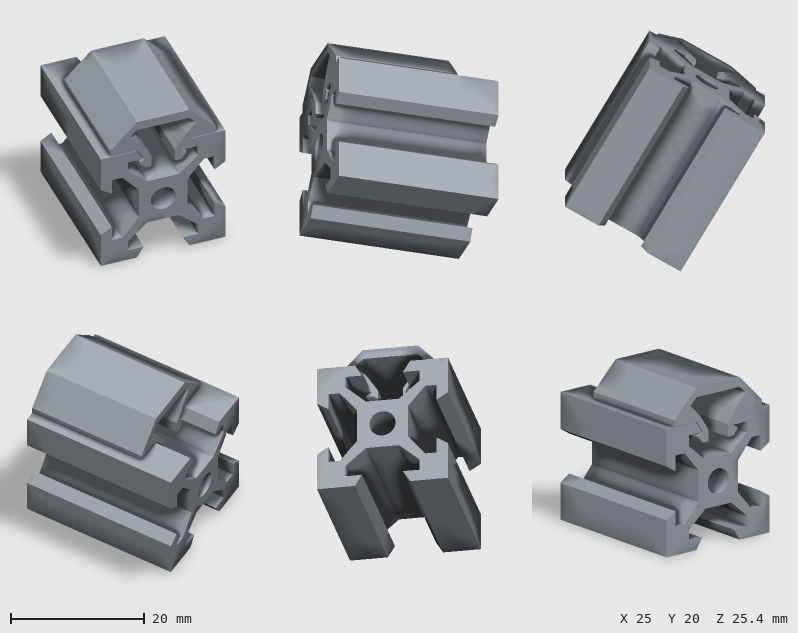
import cadquery as cq

rail_length = 25.0
rail_width = 20.0
bore_diameter = 4.0
slot_mouth_half = 4.22
slot_throat_half = 3.12
slot_channel_half = 5.61
slot_floor_half = 2.51
lip_depth = 1.75
channel_wall_depth = 3.48
core_half = 3.85

total_height = 25.4
cap_length = 19.0
cap_clearance = 0.1
cap_half = 8.48
cap_bevel = 4.27
cap_wall = 1.47
cavity_top_half = 4.17
cavity_corner_half = 5.35
cavity_corner_drop = 2.57
leg_bend_half = 3.53
leg_bend_drop = 4.5
leg_inner_half = 1.9
leg_straight_drop = 6.88
leg_bottom_drop = 8.85
leg_shoulder_half = 4.17
barb_root_half = 2.97
barb_root_drop = 7.21
barb_reach = 0.74
barb_upper_rise = 0.43
barb_flat = 0.3
barb_toe_half = 2.95

rail_half = rail_width / 2
cap_top = total_height - rail_half
cap_bottom = rail_half + cap_clearance
cap_start = rail_length / 2 - cap_length


def mirrored_outline(half_points):
    """Close a run of (y, z) points with its mirror image across y = 0."""
    return half_points + [(-y, z) for y, z in reversed(half_points)]


def extrude_along_x(points, start, length):
    return cq.Workplane("YZ", origin=(start, 0, 0)).polyline(points).close().extrude(length)


def make_slot():
    """Solid filling the slot in the top face of the rail."""
    half_points = [
        (slot_mouth_half, rail_half),
        (slot_throat_half, rail_half - lip_depth),
        (slot_channel_half, rail_half - lip_depth),
        (slot_channel_half, rail_half - channel_wall_depth),
        (slot_floor_half, core_half),
    ]
    return extrude_along_x(mirrored_outline(half_points), -rail_length / 2, rail_length)


def make_rail():
    rail = cq.Workplane("XY").box(rail_length, rail_width, rail_width)
    slot = make_slot()
    for angle in (0, 90, 180, 270):
        rail = rail.cut(slot.rotate((0, 0, 0), (1, 0, 0), angle))
    return rail.faces(">X").workplane(origin=(0, 0, 0)).hole(bore_diameter)


def make_cap():
    barb_half = barb_root_half + barb_reach
    barb_upper_z = cap_top - barb_root_drop - barb_upper_rise
    leg_bottom_z = cap_top - leg_bottom_drop
    half_points = [
        (cap_half - cap_bevel, cap_top),
        (cap_half, cap_top - cap_bevel),
        (cap_half, cap_bottom),
        (leg_shoulder_half, cap_bottom),
        (barb_root_half, cap_top - barb_root_drop),
        (barb_half, barb_upper_z),
        (barb_half, barb_upper_z - barb_flat),
        (barb_toe_half, leg_bottom_z),
        (leg_inner_half, leg_bottom_z),
        (leg_inner_half, cap_top - leg_straight_drop),
        (leg_bend_half, cap_top - leg_bend_drop),
        (cavity_corner_half, cap_top - cavity_corner_drop),
        (cavity_top_half, cap_top - cap_wall),
    ]
    return extrude_along_x(mirrored_outline(half_points), cap_start, cap_length)


rail = make_rail()
cap = make_cap()
result = cq.Compound.makeCompound([rail.val(), cap.val()])